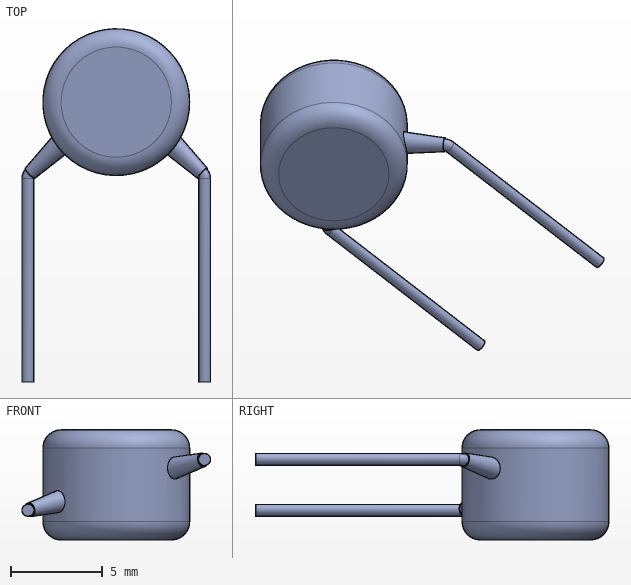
import cadquery as cq
import math

housing_diameter = 8.0
housing_height = 6.0
rim_radius = 1.0
housing_radius = housing_diameter / 2

overall_length = 19.21
wire_diameter = 0.65
lead_pitch = 9.6
lead_offset = 2.77
bend_radius = 0.36
wire_radius = wire_diameter / 2

collar_root_radius = 0.65
collar_tip_radius = 0.38

root = cq.Vector(-2.69, -1.95, -0.79)
corner = cq.Vector(-lead_pitch / 2, -3.98, -lead_offset / 2)
free_end = cq.Vector(corner.x, housing_radius - overall_length, corner.z)
lead_turns = (0, 180)

inward = (root - corner).normalized()
outward = (free_end - corner).normalized()
turn_angle = math.pi - inward.getAngle(outward)
tangent_length = bend_radius * math.tan(turn_angle / 2)
corner_to_arc = bend_radius / math.cos(turn_angle / 2) - bend_radius
bend_start = corner + inward * tangent_length
bend_middle = corner + (inward + outward).normalized() * corner_to_arc
bend_end = corner + outward * tangent_length


def turn_about_y(solid, angle):
    """Solid turned about the Y axis through the origin, by an angle in degrees."""
    return solid.rotate(cq.Vector(0, 0, 0), cq.Vector(0, 1, 0), angle)


def make_lead(angle):
    """One round wire: straight root, bend, then a straight run along -Y."""
    centre_line = cq.Wire.assembleEdges([
        cq.Edge.makeLine(root, bend_start),
        cq.Edge.makeThreePointArc(bend_start, bend_middle, bend_end),
        cq.Edge.makeLine(bend_end, free_end),
    ])
    section = cq.Workplane(cq.Plane(origin=root, normal=-inward)).circle(wire_radius)
    return turn_about_y(section.sweep(cq.Workplane(centre_line)).val(), angle)


def make_collar(angle):
    """Cone around a wire, from its root to the start of its bend."""
    length = (bend_start - root).Length
    collar = cq.Solid.makeCone(collar_root_radius, collar_tip_radius, length, root, -inward)
    return turn_about_y(collar, angle)


def make_housing(leads):
    """Rounded disc with a collar for each lead and a matching hole for each wire."""
    housing = (
        cq.Workplane("XY")
        .cylinder(housing_height, housing_radius)
        .edges("%CIRCLE")
        .fillet(rim_radius)
    )
    for angle in lead_turns:
        housing = housing.union(cq.Workplane(make_collar(angle)))
    for lead in leads:
        housing = housing.cut(cq.Workplane(lead))
    return housing.solids().val()


leads = [make_lead(angle) for angle in lead_turns]
housing = make_housing(leads)

result = cq.Compound.makeCompound([housing, *leads])